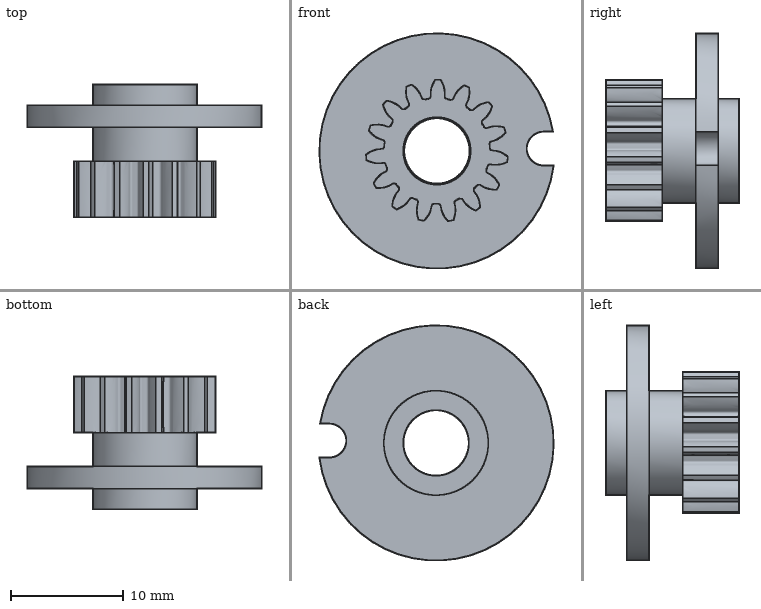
import cadquery as cq
import math

gear_width = 5.0
neck_length = 3.0
disc_thickness = 2.0
rear_hub_length = 1.85

hub_diameter = 9.3
bore_diameter = 5.8
bore_chamfer = 0.1

disc_diameter = 20.95
slot_width = 3.0
slot_end_x = 8.0
slot_center_z = 0.2

tooth_count = 15
pitch_diameter = 11.2
pressure_angle = math.radians(20)
tip_diameter = 12.65
root_diameter = 9.43
root_fillet = 0.2
first_tooth_angle = math.radians(89.2)
flank_point_count = 6

disc_start = gear_width + neck_length
disc_end = disc_start + disc_thickness
total_length = disc_end + rear_hub_length


def cylinder(diameter, start, end):
    """Cylinder about the Y axis between two Y positions."""
    return cq.Workplane("XZ", origin=(0, start, 0)).circle(diameter / 2).extrude(start - end)


def polar_point(radius, angle):
    return (radius * math.cos(angle), radius * math.sin(angle))


def involute_angle(pressure):
    return math.tan(pressure) - pressure


def make_tooth(center_angle):
    """One tooth: involute flanks above the base circle, parallel sides below."""
    pitch_radius = pitch_diameter / 2
    base_radius = pitch_radius * math.cos(pressure_angle)
    tip_radius = tip_diameter / 2
    half_angle_at_base = math.pi / (2 * tooth_count) + involute_angle(pressure_angle)

    flank = []
    for i in range(flank_point_count):
        radius = base_radius + (tip_radius - base_radius) * i / (flank_point_count - 1)
        pressure = math.acos(base_radius / radius)
        flank.append(polar_point(radius, half_angle_at_base - involute_angle(pressure)))
    mirrored_flank = [(x, -y) for x, y in reversed(flank)]

    foot_x = root_diameter / 2 - root_fillet
    half_width = flank[0][1]
    tooth = (
        cq.Workplane("XZ")
        .moveTo(foot_x, half_width)
        .lineTo(*flank[0])
        .spline(flank[1:], includeCurrent=True)
        .threePointArc((tip_radius, 0), mirrored_flank[0])
        .spline(mirrored_flank[1:], includeCurrent=True)
        .lineTo(foot_x, -half_width)
        .close()
        .extrude(-gear_width)
    )
    return tooth.rotate((0, 0, 0), (0, -1, 0), math.degrees(center_angle))


def make_gear():
    gear = cylinder(root_diameter, 0, gear_width)
    for i in range(tooth_count):
        gear = gear.union(make_tooth(first_tooth_angle + i * 2 * math.pi / tooth_count))

    corners = [
        edge for edge in gear.edges("|Y").vals()
        if math.hypot(edge.Center().x, edge.Center().z) < root_diameter / 2 + root_fillet / 2
    ]
    return gear.newObject(corners).fillet(root_fillet)


def make_disc():
    """Disc with a round-ended slot that opens through its +X rim."""
    slot_length = disc_diameter
    slot = (
        cq.Workplane("XZ", origin=(slot_end_x + slot_length / 2, disc_start, slot_center_z))
        .slot2D(slot_length, slot_width)
        .extrude(-disc_thickness)
    )
    return cylinder(disc_diameter, disc_start, disc_end).cut(slot)


def make_bore():
    """Through bore with a small chamfer at the gear face."""
    mouth = (
        cq.Workplane("XZ")
        .circle(bore_diameter / 2 + bore_chamfer)
        .workplane(offset=-bore_chamfer)
        .circle(bore_diameter / 2)
        .loft()
    )
    return cylinder(bore_diameter, 0, total_length).union(mouth)


hub = cylinder(hub_diameter, gear_width, total_length)
result = make_gear().union(hub).union(make_disc()).cut(make_bore())